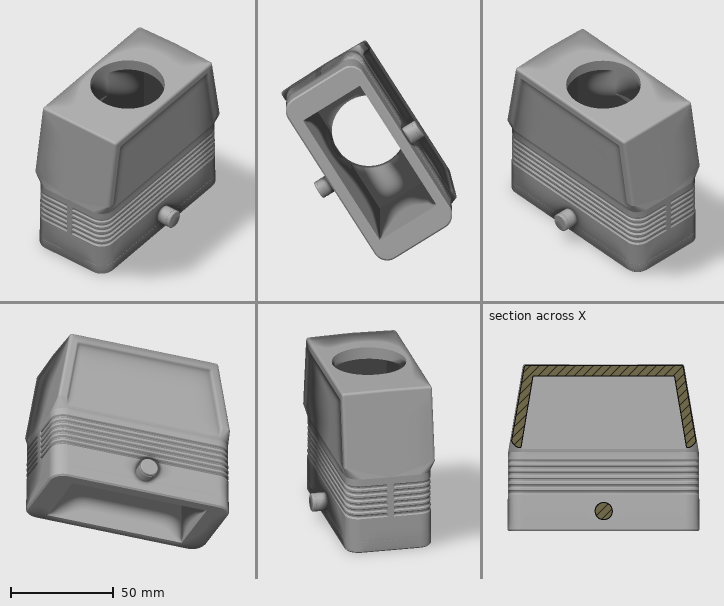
import cadquery as cq
rim_half_x = 21.6
rim_half_y = 46.75
rim_height = 5.5
rim_corner = 7.1
rim_chamfer = 0.75

skirt_step = 0.1
skirt_draft = 0.3
skirt_corner = 6.8
shoulder_z = 38.4

total_height = 81.25
box_half_x = 22.6
box_top_half_y = 39.1
ridge_drop = 0.4
box_fillet = 1.4
chin_z = 44.0

panel_depth = 1.0
panel_margin = 5.4
panel_top_z = 75.9
panel_wall_angle = 45
panel_corner = 1.4
panel_fillet = 1.3

groove_count = 6
groove_pitch = 3.0
lowest_groove_z = 18.9
groove_floor = 0.75
groove_inset = 1.0
groove_flare = 1.2
groove_wall_rise = 1.0
rib_half_width = 1.5

pin_radius = 4.5
pin_z = 9.8
pin_tip_x = 29.0
pin_root_x = 18.7
pin_chamfer = 0.4
pin_groove_x = 27.1
pin_groove_width = 0.5
pin_groove_depth = 0.2

entry_radius = 18.1
entry_depth = 20.1
cavity_min_x = -16.8
cavity_max_x = 15.8
cavity_top_z = 75.3
cavity_half_y = 35.1

skirt_half_x = rim_half_x - skirt_step
skirt_half_y = rim_half_y - skirt_step
shoulder_half_x = skirt_half_x - skirt_draft
shoulder_half_y = skirt_half_y - skirt_draft
end_slope = (shoulder_half_y - box_top_half_y) / (total_height - shoulder_z)


def end_half_y(z):
    """Half length of the upper box along its end ridge at height z."""
    return box_top_half_y + end_slope * (total_height - z)


def rounded_rectangle(half_x, half_y, radius):
    return cq.Sketch().rect(2 * half_x, 2 * half_y).vertices().fillet(radius)


def transition(low, high, low_z, high_z):
    """Straight-sided solid between two rounded rectangles."""
    return (
        cq.Workplane("XY", origin=(0, 0, low_z))
        .placeSketch(low, high.moved(cq.Location(cq.Vector(0, 0, high_z - low_z))))
        .loft(ruled=True)
    )


def trapezoid(plane, low_half, high_half, low_z, high_z):
    corners = [(-low_half, low_z), (low_half, low_z), (high_half, high_z), (-high_half, high_z)]
    return plane.polyline(corners).close()


def rim_band():
    outline = rounded_rectangle(rim_half_x, rim_half_y, rim_corner)
    band = cq.Workplane("XY").placeSketch(outline).extrude(rim_height)
    return band.faces("<Z").edges().chamfer(rim_chamfer)


def shoulder_outline():
    return rounded_rectangle(shoulder_half_x, shoulder_half_y, skirt_corner)


def skirt():
    foot = rounded_rectangle(skirt_half_x, skirt_half_y, skirt_corner)
    return transition(foot, shoulder_outline(), rim_height, shoulder_z)


def groove_cutter():
    """Ring with a flat bottom and sloping walls, centred on z = 0."""
    floor_x = rim_half_x - groove_inset
    floor_y = rim_half_y - groove_inset
    floor_corner = rim_corner - groove_inset
    half_floor = groove_floor / 2
    half_height = half_floor + groove_wall_rise
    floor_outline = rounded_rectangle(floor_x, floor_y, floor_corner)
    flared_outline = rounded_rectangle(
        floor_x + groove_flare, floor_y + groove_flare, floor_corner + groove_flare
    )
    upper_core = transition(floor_outline, flared_outline, half_floor, half_height)
    core = (
        cq.Workplane("XY", origin=(0, 0, -half_floor))
        .placeSketch(floor_outline)
        .extrude(groove_floor)
        .union(upper_core)
        .union(upper_core.mirror("XY"))
    )
    ring = cq.Workplane("XY").box(
        2 * (floor_x + groove_flare), 2 * (floor_y + groove_flare), 2 * half_height
    ).cut(core)
    outer_y = shoulder_half_y
    root_half = rib_half_width + outer_y - floor_y
    tip_y = floor_y + groove_flare
    rib = (
        cq.Workplane("XY", origin=(0, 0, -half_height))
        .moveTo(-root_half, floor_y)
        .lineTo(root_half, floor_y)
        .lineTo(rib_half_width, outer_y)
        .lineTo(rib_half_width, tip_y)
        .lineTo(-rib_half_width, tip_y)
        .lineTo(-rib_half_width, outer_y)
        .close()
        .extrude(2 * half_height)
    )
    return ring.cut(rib).cut(rib.mirror("XZ"))


def wedge_box(side_drop):
    """Wedge whose top and ends fall by side_drop from the mid plane x = 0 to the sides."""
    def section(x, drop):
        return trapezoid(
            cq.Workplane("YZ", origin=(x, 0, 0)),
            shoulder_half_y - drop,
            box_top_half_y - drop,
            shoulder_z,
            total_height - drop,
        ).wires().val()

    middle = section(0, 0)
    half = cq.Solid.makeLoft([middle, section(box_half_x, side_drop)], True)
    box = cq.Workplane(half).union(cq.Workplane(half).mirror("YZ"))
    outer_edges = box.edges().filter(
        lambda edge: edge.Center().z > shoulder_z + box_fillet and abs(edge.Center().x) > box_fillet
    )
    return outer_edges.fillet(box_fillet)


def panel_pocket():
    """Pocket with sloping walls in the +X face of the box, open at the bottom."""
    bevel_half = panel_depth / 2
    low_z = shoulder_z - panel_margin
    rim = trapezoid(
        cq.Workplane("YZ", origin=(box_half_x, 0, 0)),
        end_half_y(low_z) - panel_margin + bevel_half,
        end_half_y(panel_top_z) - panel_margin + bevel_half,
        low_z,
        panel_top_z + bevel_half,
    )
    pocket = rim.extrude(-panel_depth, taper=panel_wall_angle)
    pocket = pocket.edges("not #X").edges("not |Y").edges(">Z").fillet(panel_corner)
    return pocket.faces("<X").edges("not <Z").fillet(panel_fillet)


def panelled_box(side_drop):
    pocket = panel_pocket()
    box = wedge_box(side_drop).cut(pocket).cut(pocket.mirror("YZ"))
    low_limit = shoulder_z + panel_depth
    high_limit = panel_top_z + panel_depth

    def is_panel_rim(edge):
        center = edge.Center()
        on_side_face = abs(abs(center.x) - box_half_x) < panel_depth / 2
        inside_end = abs(center.y) < end_half_y(center.z) - panel_margin + panel_depth
        return on_side_face and inside_end and low_limit < center.z < high_limit

    return box.edges().filter(is_panel_rim).fillet(panel_fillet)


def sloped_foot():
    """Envelope that narrows the foot of the box to the outline of the skirt."""
    slope_top = rounded_rectangle(box_half_x, end_half_y(chin_z) - ridge_drop, box_fillet)
    return transition(shoulder_outline(), slope_top, shoulder_z, chin_z)


def ridge_envelope():
    """Space above the creases that run from the chin corners down to the end ridges."""
    crease_x = box_half_x - box_fillet
    return (
        cq.Workplane("XZ", origin=(0, rim_half_y, 0))
        .moveTo(0, shoulder_z)
        .lineTo(crease_x, chin_z)
        .lineTo(rim_half_y, chin_z)
        .lineTo(rim_half_y, total_height)
        .lineTo(-rim_half_y, total_height)
        .lineTo(-rim_half_y, chin_z)
        .lineTo(-crease_x, chin_z)
        .close()
        .extrude(2 * rim_half_y)
    )


def upper_box():
    """Panelled box with its foot narrowed to meet the skirt."""
    ridged_part = panelled_box(ridge_drop).intersect(ridge_envelope())
    foot = panelled_box(0).intersect(sloped_foot())
    return ridged_part.union(foot)


def locking_pin():
    """Pin along +X, narrowed at the wall and the tip, with a fine ring groove."""
    neck_radius = pin_radius - pin_chamfer
    groove_radius = pin_radius - pin_groove_depth
    groove_end_x = pin_groove_x + pin_groove_width
    profile = [
        (pin_root_x, 0),
        (pin_root_x, neck_radius),
        (rim_half_x, neck_radius),
        (rim_half_x + pin_chamfer, pin_radius),
        (pin_groove_x, pin_radius),
        (pin_groove_x, groove_radius),
        (groove_end_x, groove_radius),
        (groove_end_x, pin_radius),
        (pin_tip_x - pin_chamfer, pin_radius),
        (pin_tip_x, neck_radius),
        (pin_tip_x, 0),
    ]
    pin = cq.Workplane("XY").polyline(profile).close().revolve(360, (0, 0, 0), (1, 0, 0))
    return pin.translate((0, 0, pin_z))


def cavity():
    """Square-cornered hollow, open at the bottom."""
    width = cavity_max_x - cavity_min_x
    hollow = cq.Workplane("XY").box(width, 2 * cavity_half_y, cavity_top_z, centered=(False, True, False))
    return hollow.translate((cavity_min_x, 0, 0))


def cable_entry():
    entry = cq.Workplane("XY", origin=(0, 0, total_height)).circle(entry_radius)
    return entry.extrude(-entry_depth)


base = rim_band().union(skirt())
groove = groove_cutter()
for index in range(groove_count):
    base = base.cut(groove.translate((0, 0, lowest_groove_z + index * groove_pitch)))

pin = locking_pin()
result = base.union(upper_box()).union(pin).union(pin.mirror("YZ")).cut(cavity()).cut(cable_entry())